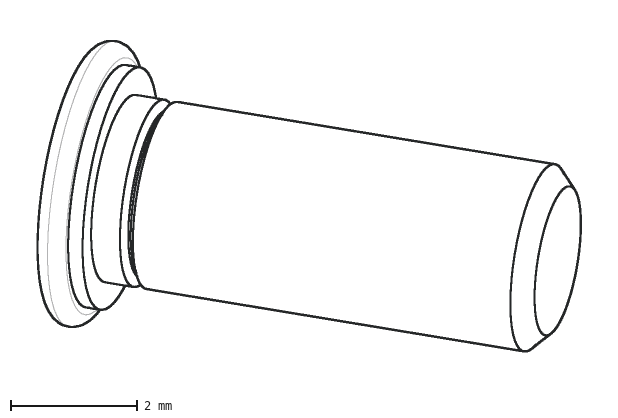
import cadquery as cq
import math

length = 8.0
head_diameter = 4.6
head_thickness = 0.46
collar_diameter = 3.9
collar_end = 0.7
shank_diameter = 3.02
tip_diameter = 2.4
tip_chamfer_length = 0.3

groove_start = 1.18
groove_end = 1.4
groove_floor_width = 0.04
groove_depth = 0.16

head_radius = head_diameter / 2
collar_radius = collar_diameter / 2
shank_radius = shank_diameter / 2
tip_radius = tip_diameter / 2
rim_radius = head_thickness / 2
groove_middle = (groove_start + groove_end) / 2
groove_floor_radius = shank_radius - groove_depth


def half_profile():
    """Closed outline of the pin from its axis outward."""
    flat_face_radius = head_radius - rim_radius
    diagonal = rim_radius * math.sqrt(0.5)
    return (
        cq.Workplane("XY")
        .lineTo(0, flat_face_radius)
        .threePointArc((rim_radius - diagonal, flat_face_radius + diagonal), (rim_radius, head_radius))
        .threePointArc((rim_radius + diagonal, flat_face_radius + diagonal), (head_thickness, flat_face_radius))
        .lineTo(head_thickness, collar_radius)
        .lineTo(collar_end, collar_radius)
        .lineTo(collar_end, shank_radius)
        .lineTo(groove_start, shank_radius)
        .lineTo(groove_middle - groove_floor_width / 2, groove_floor_radius)
        .lineTo(groove_middle + groove_floor_width / 2, groove_floor_radius)
        .lineTo(groove_end, shank_radius)
        .lineTo(length - tip_chamfer_length, shank_radius)
        .lineTo(length, tip_radius)
        .lineTo(length, 0)
        .close()
    )


result = half_profile().revolve(360, (0, 0, 0), (1, 0, 0))